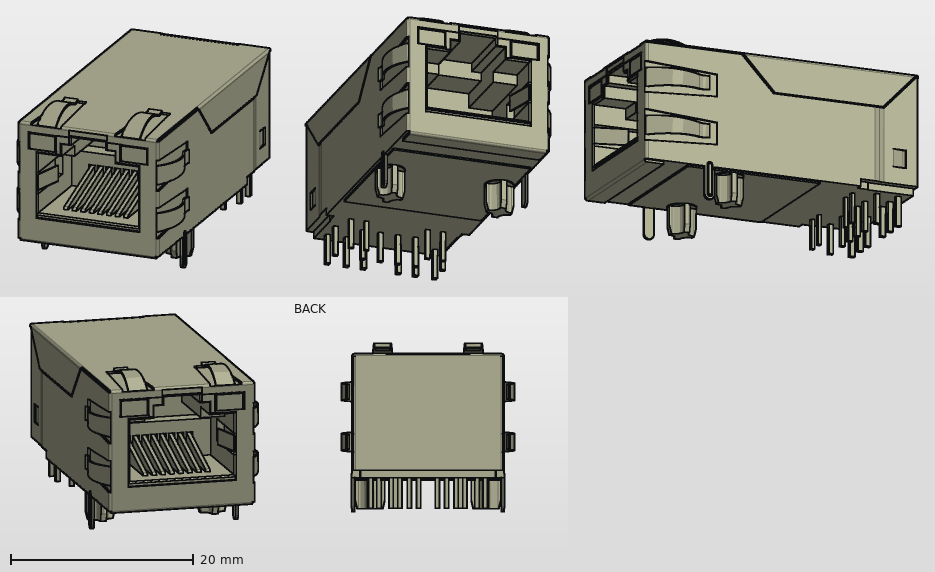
import cadquery as cq
import math


BODY_WIDTH = 16.7
BODY_LENGTH = 32.8
BODY_HEIGHT = 13.6
HALF_WIDTH = BODY_WIDTH / 2
BEND_RADIUS = 0.3
REAR_BEND_RADIUS = 0.2
SEAM_NOTCH_WIDTH = 0.15
SEAM_NOTCH_HEIGHT = 0.23
CLEARANCE = 0.33

REAR_NOTCH_WIDTH = 9.12
REAR_NOTCH_LENGTH = 0.5
REAR_NOTCH_DEPTH = 0.1

TRAPEZOID_FRONT_TOP_Y = 11.65
TRAPEZOID_FRONT_LOW_Y = 15.4
TRAPEZOID_REAR_LOW_Y = 28.67
TRAPEZOID_REAR_TOP_Y = 32.55
TRAPEZOID_LOW_Z = 9.35
SEAM_WIDTH = 0.15
LOW_SEAM_WIDTH = 0.1
SEAM_DEPTH = 0.13
JOGGLE_START_Y = 27.52
JOGGLE_DEPTH = 0.15
FLAP_BOTTOM_Z = 0.82
SKIRT_START_Y = 25.85
SKIRT_STEP_Y = 27.1
SKIRT_DEPTH = 0.85
SKIRT_REAR_DEPTH = 1.0
REAR_COVER_THICKNESS = 0.23
LATCH_START_Y = 29.8
LATCH_FLOOR_Y = 31.03
LATCH_END_Y = 31.35
LATCH_BOTTOM_Z = 2.8
LATCH_TOP_Z = 4.82
LATCH_DEPTH = 0.2

SPRING_RISE = 1.15
SPRING_THICKNESS = 0.2
SPRING_PEAK_Y = 3.8
SPRING_RADIUS = 5.45
SPRING_ROOT_ANGLE = 43.0
SPRING_JOINT_ANGLE = 25.0
HOOK_RADIUS = 1.48
HOOK_TIP_ANGLE = 29.0
SPRING_ROOT_WIDTH = 2.2
SPRING_TIP_WIDTH = 1.48
SPRING_TIP_Y = 7.65
SLOT_ROOT_WIDTH = 3.58
SLOT_END_WIDTH = 2.53
SLOT_LENGTH = 8.63
SLOT_DEPTH = 0.23
TOP_SPRING_X = 5.0
SIDE_SPRING_Z = (3.9, 9.4)

OPENING_HALF_WIDTH = 6.15
OPENING_BOTTOM_Z = 3.0
SHOULDER_Z = 10.33
STEP_HALF_WIDTH = 3.38
STEP_Z = 11.75
KEYWAY_HALF_WIDTH = 2.25
KEYWAY_Z = 12.7
BEVEL = 0.2
SILL_BOTTOM_Z = 2.6
SILL_DEPTH = 0.33
FLOOR_Z = OPENING_BOTTOM_Z + BEVEL
CAVITY_HALF_WIDTH = OPENING_HALF_WIDTH - BEVEL
INNER_STEP_HALF_WIDTH = STEP_HALF_WIDTH - BEVEL
CAVITY_DEPTH = 11.8
KEYWAY_DEPTH = 7.87
SHOULDER_DEPTH = 3.95
REAR_ROOF_Z = 10.6
SHOULDER_LEDGE_Z = 8.92

FACE_RECESS_DEPTH = 0.1
LED_INNER_X = 3.77
LED_OUTER_X = 7.1
LED_BOTTOM_Z = 10.55
LED_TOP_Z = 12.5
LED_GAP = 0.15
LED_GAP_DEPTH = 0.33

CONTACT_COUNT = 8
CONTACT_PITCH = 1.02
CONTACT_WIDTH = 0.5
CONTACT_START_Y = 2.3
CONTACT_NOSE = 0.3
CONTACT_TOP_Z = 5.9
CONTACT_BLOCK_Y = 9.85
CONTACT_BLOCK_TOP_Z = 7.35
CONTACT_SLOT_WIDTH = 0.72
CONTACT_SLOT_DEPTH = 1.0

WINDOW_START_Y = 0.2
WINDOW_END_Y = 7.18
WINDOW_BOTTOM_Z = 5.4
WINDOW_TOP_Z = 7.87
WINDOW_DEPTH = 0.85
LEAF_BOTTOM_Z = 5.75
LEAF_TOP_Z = 7.58
LEAF_THICKNESS = 0.13
LEAF_ROOT = (6.07, 0.1)
LEAF_TIP = (5.12, 3.97)

UNDERSIDE_WIDTH = 16.0
LIP_LENGTH = 2.33
LIP_HEIGHT = 0.3
BASE_PLATE_START_Y = 5.25
BASE_PLATE_END_Y = 21.1
BASE_PLATE_HEIGHT = 0.2
POST_X = 6.35
POST_Y = 10.85
POST_RADIUS = 1.65
POST_LENGTH = 3.45
POST_COLLAR = 0.3
POST_TAPER_LENGTH = 0.92
POST_TAPER = 0.23
FLUTE_COUNT = 4
FLUTE_OFFSET = 1.3
FLUTE_RADIUS = 1.0

TAIL_Y = 7.7
TAIL_WIDTH = 1.18
TAIL_THICKNESS = 0.3
TAIL_BOTTOM_Z = -3.75
TAIL_RIB_WIDTH = 0.65
TAIL_RIB_HEIGHT = 0.1
TAIL_RIB_SLOPE_WIDTH = 0.15
TAIL_RIB_TOP_Z = 0.52
TAIL_RIB_BOTTOM_Z = -3.4

PIN_BOTTOM_Z = -3.38
PIN_WIDTH = 0.5
PIN_ROWS = (
    (26.1, 0.35, (3.58, 5.38)),
    (28.67, 0.5, (1.02, 3.08, 6.25)),
    (31.23, 0.6, (2.05, 4.05, 6.25)),
)


def block(x, y, z):
    """Box between the two limits given for each axis."""
    size = (x[1] - x[0], y[1] - y[0], z[1] - z[0])
    return cq.Workplane("XY").box(*size, centered=False).translate((x[0], y[0], z[0]))


def both_sides(solid):
    """The solid together with its mirror image across X = 0."""
    return solid.union(solid.mirror("YZ"))


def side_prism(points, depth):
    """A (Y, Z) outline cut from past the +X side down to `depth` below it."""
    outline = cq.Workplane("YZ", origin=(HALF_WIDTH - depth, 0, 0)).polyline(points).close()
    return outline.extrude(depth + CLEARANCE)


def wedge_plan(root_width, end_width, length):
    """Symmetric trapezoid in plan, starting just ahead of the mating face."""
    points = [
        (-root_width / 2, -CLEARANCE),
        (root_width / 2, -CLEARANCE),
        (root_width / 2, 0),
        (end_width / 2, length),
        (-end_width / 2, length),
        (-root_width / 2, 0),
    ]
    return cq.Workplane("XY").polyline(points).close()



def shield_body():
    body = block((-HALF_WIDTH, HALF_WIDTH), (0, BODY_LENGTH), (0, BODY_HEIGHT))
    body = body.edges("(|Z and <Y) or (|X and <Y and >Z) or (|Y and >Z)").fillet(BEND_RADIUS)
    return body.edges("(|Z and >Y) or (|X and >Y and >Z)").fillet(REAR_BEND_RADIUS)


def seam_notches():
    """Square notches along the top corners ahead of the trapezoid panels."""
    return both_sides(block(
        (HALF_WIDTH - SEAM_NOTCH_WIDTH, HALF_WIDTH + CLEARANCE),
        (-CLEARANCE, TRAPEZOID_FRONT_TOP_Y),
        (BODY_HEIGHT - SEAM_NOTCH_HEIGHT, BODY_HEIGHT + CLEARANCE),
    ))


def rear_notch():
    return block(
        (-REAR_NOTCH_WIDTH / 2, REAR_NOTCH_WIDTH / 2),
        (BODY_LENGTH - REAR_NOTCH_LENGTH, BODY_LENGTH + CLEARANCE),
        (BODY_HEIGHT - REAR_NOTCH_DEPTH, BODY_HEIGHT + CLEARANCE),
    )


def trapezoid_seams():
    """Narrow grooves that outline the trapezoid panels."""
    top_z = BODY_HEIGHT - BEND_RADIUS
    low_z = TRAPEZOID_LOW_Z
    width = SEAM_WIDTH * math.sqrt(2)
    outer = [
        (TRAPEZOID_FRONT_TOP_Y, top_z),
        (TRAPEZOID_FRONT_LOW_Y, low_z),
        (TRAPEZOID_REAR_LOW_Y, low_z),
        (TRAPEZOID_REAR_TOP_Y, top_z),
    ]
    inner = [
        (TRAPEZOID_FRONT_TOP_Y + width, top_z),
        (TRAPEZOID_FRONT_LOW_Y + width / 2, low_z + LOW_SEAM_WIDTH),
        (TRAPEZOID_REAR_LOW_Y - width / 2, low_z + LOW_SEAM_WIDTH),
        (TRAPEZOID_REAR_TOP_Y - width, top_z),
    ]
    return both_sides(side_prism(outer + inner[::-1], SEAM_DEPTH))


def rear_flap_recess():
    """The joggled sides behind and below the rear slope of the trapezoid panels."""
    rear_y = BODY_LENGTH + CLEARANCE
    top_z = BODY_HEIGHT - BEND_RADIUS
    region = side_prism([
        (JOGGLE_START_Y, 0),
        (JOGGLE_START_Y, TRAPEZOID_LOW_Z),
        (TRAPEZOID_REAR_LOW_Y, TRAPEZOID_LOW_Z),
        (TRAPEZOID_REAR_TOP_Y, top_z),
        (rear_y, top_z),
        (rear_y, 0),
    ], JOGGLE_DEPTH + REAR_BEND_RADIUS)
    flap_x = HALF_WIDTH - JOGGLE_DEPTH
    middle = (HALF_WIDTH - JOGGLE_DEPTH / 2, (JOGGLE_START_Y + TRAPEZOID_REAR_LOW_Y) / 2)
    plan = (
        cq.Workplane("XY")
        .moveTo(HALF_WIDTH, JOGGLE_START_Y - CLEARANCE)
        .lineTo(HALF_WIDTH, JOGGLE_START_Y)
        .tangentArcPoint(middle, relative=False)
        .tangentArcPoint((flap_x, TRAPEZOID_REAR_LOW_Y), relative=False)
        .lineTo(flap_x, BODY_LENGTH - REAR_BEND_RADIUS)
        .tangentArcPoint((flap_x - REAR_BEND_RADIUS, BODY_LENGTH), relative=False)
        .lineTo(flap_x - REAR_BEND_RADIUS, rear_y)
        .lineTo(HALF_WIDTH + CLEARANCE, rear_y)
        .lineTo(HALF_WIDTH + CLEARANCE, JOGGLE_START_Y - CLEARANCE)
        .close()
    )
    return both_sides(region.intersect(plan.extrude(BODY_HEIGHT)))


def rear_skirt_recess():
    """Below the flaps the sides step in, and the rear cover stops short of the bottom."""
    z = (-CLEARANCE, FLAP_BOTTOM_Z)
    outer_x = HALF_WIDTH + CLEARANCE
    rear_y = BODY_LENGTH + CLEARANCE
    shallow = block((HALF_WIDTH - SKIRT_DEPTH, outer_x), (SKIRT_START_Y, rear_y), z)
    deep = block((HALF_WIDTH - SKIRT_REAR_DEPTH, outer_x), (SKIRT_STEP_Y, rear_y), z)
    rear = block((-outer_x, outer_x), (BODY_LENGTH - REAR_COVER_THICKNESS, rear_y), z)
    return both_sides(shallow.union(deep)).union(rear)


def latch_pockets():
    """Ramped pockets in the rear flaps."""
    flap_x = HALF_WIDTH - JOGGLE_DEPTH
    plan = cq.Workplane("XY", origin=(0, 0, LATCH_BOTTOM_Z)).polyline([
        (flap_x, LATCH_START_Y),
        (flap_x - LATCH_DEPTH, LATCH_FLOOR_Y),
        (flap_x - LATCH_DEPTH, LATCH_END_Y),
        (flap_x + CLEARANCE, LATCH_END_Y),
        (flap_x + CLEARANCE, LATCH_START_Y),
    ]).close()
    return both_sides(plan.extrude(LATCH_TOP_Z - LATCH_BOTTOM_Z))



def spring():
    """Arched leaf with an upturned hook, tapered in plan."""
    half = SPRING_THICKNESS / 2
    arch_z = SPRING_RISE - half - SPRING_RADIUS
    joint = math.radians(SPRING_JOINT_ANGLE)
    hook_y = SPRING_PEAK_Y + (SPRING_RADIUS + HOOK_RADIUS) * math.sin(joint)
    hook_z = arch_z + (SPRING_RADIUS + HOOK_RADIUS) * math.cos(joint)

    def on_arch(angle, offset):
        turn = math.radians(angle)
        radius = SPRING_RADIUS + offset
        return (SPRING_PEAK_Y + radius * math.sin(turn), arch_z + radius * math.cos(turn))

    def on_hook(angle, offset):
        turn = math.radians(angle)
        radius = HOOK_RADIUS - offset
        return (hook_y + radius * math.sin(turn), hook_z - radius * math.cos(turn))

    profile = (
        cq.Workplane("YZ", origin=(-SPRING_ROOT_WIDTH / 2, 0, 0))
        .moveTo(*on_arch(-SPRING_ROOT_ANGLE, half))
        .threePointArc(on_arch(0, half), on_arch(SPRING_JOINT_ANGLE, half))
        .threePointArc(on_hook(0, half), on_hook(HOOK_TIP_ANGLE, half))
        .lineTo(*on_hook(HOOK_TIP_ANGLE, -half))
        .threePointArc(on_hook(0, -half), on_arch(SPRING_JOINT_ANGLE, -half))
        .threePointArc(on_arch(0, -half), on_arch(-SPRING_ROOT_ANGLE, -half))
        .close()
        .extrude(SPRING_ROOT_WIDTH)
    )
    plan = wedge_plan(SPRING_ROOT_WIDTH, SPRING_TIP_WIDTH, SPRING_TIP_Y + CLEARANCE)
    envelope = plan.extrude(2 * SPRING_RISE, both=True)
    return profile.intersect(envelope)


def spring_slot():
    plan = wedge_plan(SLOT_ROOT_WIDTH, SLOT_END_WIDTH, SLOT_LENGTH)
    return plan.extrude(SLOT_DEPTH + CLEARANCE).translate((0, 0, -SLOT_DEPTH))


def at_spring_places(solid):
    """Copies of the solid on the top and on both sides of the shield."""
    top = solid.translate((TOP_SPRING_X, 0, BODY_HEIGHT))
    side = solid.rotate((0, 0, 0), (0, 1, 0), 90)
    copies = both_sides(top)
    for z in SIDE_SPRING_Z:
        copies = copies.union(both_sides(side.translate((HALF_WIDTH, 0, z))))
    return copies



def opening():
    """Bevelled stepped mouth and the cavity behind it."""
    right_side = [
        (OPENING_HALF_WIDTH, OPENING_BOTTOM_Z),
        (OPENING_HALF_WIDTH, SHOULDER_Z),
        (STEP_HALF_WIDTH, SHOULDER_Z),
        (STEP_HALF_WIDTH, STEP_Z),
        (KEYWAY_HALF_WIDTH, STEP_Z),
        (KEYWAY_HALF_WIDTH, KEYWAY_Z),
    ]
    left_side = [(-x, z) for x, z in reversed(right_side)]
    inward = cq.Plane(origin=(0, 0, 0), xDir=(-1, 0, 0), normal=(0, 1, 0))
    mouth = cq.Workplane(inward).polyline(right_side + left_side).close().extrude(BEVEL, taper=45)

    def room(half_width, depth, bottom, top):
        return block((-half_width, half_width), (BEVEL, depth), (bottom, top))

    sill = block(
        (-OPENING_HALF_WIDTH, OPENING_HALF_WIDTH),
        (0, SILL_DEPTH),
        (SILL_BOTTOM_Z, OPENING_BOTTOM_Z),
    )
    return (
        mouth.union(sill)
        .union(room(CAVITY_HALF_WIDTH, CAVITY_DEPTH, FLOOR_Z, SHOULDER_LEDGE_Z))
        .union(room(CAVITY_HALF_WIDTH, SHOULDER_DEPTH, FLOOR_Z, SHOULDER_Z - BEVEL))
        .union(room(INNER_STEP_HALF_WIDTH, CAVITY_DEPTH, FLOOR_Z, REAR_ROOF_Z))
        .union(room(INNER_STEP_HALF_WIDTH, KEYWAY_DEPTH, FLOOR_Z, STEP_Z - BEVEL))
        .union(room(KEYWAY_HALF_WIDTH - BEVEL, KEYWAY_DEPTH, FLOOR_Z, KEYWAY_Z - BEVEL))
    )


def face_recesses():
    """Shallow recesses above the keyway and between it and the indicators."""
    depth = (-CLEARANCE, FACE_RECESS_DEPTH)
    above = block(
        (-KEYWAY_HALF_WIDTH, KEYWAY_HALF_WIDTH), depth, (KEYWAY_Z, BODY_HEIGHT - BEND_RADIUS)
    )
    beside = block((KEYWAY_HALF_WIDTH, LED_INNER_X), depth, (SHOULDER_Z, LED_TOP_Z))
    return above.union(both_sides(beside))


def indicator_gaps():
    """Slightly sunk indicators, each with a gap over its top and two sides."""
    depth = (-CLEARANCE, LED_GAP_DEPTH)
    window = block((LED_INNER_X, LED_OUTER_X), depth, (LED_BOTTOM_Z, LED_TOP_Z))
    indicator = block(
        (LED_INNER_X + LED_GAP, LED_OUTER_X - LED_GAP), depth, (LED_BOTTOM_Z, LED_TOP_Z - LED_GAP)
    )
    indicator_face = block(
        (LED_INNER_X, LED_OUTER_X), (-CLEARANCE, FACE_RECESS_DEPTH), (LED_BOTTOM_Z, LED_TOP_Z)
    )
    return both_sides(window.cut(indicator).union(indicator_face))


def side_windows():
    return both_sides(block(
        (CAVITY_HALF_WIDTH, CAVITY_HALF_WIDTH + WINDOW_DEPTH),
        (WINDOW_START_Y, WINDOW_END_Y),
        (WINDOW_BOTTOM_Z, WINDOW_TOP_Z),
    ))


def leaves():
    """Sheet-metal leaves that lean into the cavity."""
    inner_line = [LEAF_ROOT, LEAF_TIP]
    outer_line = [(x + LEAF_THICKNESS, y) for x, y in reversed(inner_line)]
    outline = cq.Workplane("XY", origin=(0, 0, LEAF_BOTTOM_Z)).polyline(inner_line + outer_line).close()
    return both_sides(outline.extrude(LEAF_TOP_Z - LEAF_BOTTOM_Z))


def contact_positions():
    first = -(CONTACT_COUNT - 1) / 2 * CONTACT_PITCH
    return [first + i * CONTACT_PITCH for i in range(CONTACT_COUNT)]


def contact_block():
    """Block at the rear of the cavity, slotted around each contact."""
    rear_block = block(
        (-CAVITY_HALF_WIDTH, CAVITY_HALF_WIDTH),
        (CONTACT_BLOCK_Y, CAVITY_DEPTH),
        (FLOOR_Z, CONTACT_BLOCK_TOP_Z),
    )
    for x in contact_positions():
        rear_block = rear_block.cut(block(
            (x - CONTACT_SLOT_WIDTH / 2, x + CONTACT_SLOT_WIDTH / 2),
            (CONTACT_BLOCK_Y, CONTACT_BLOCK_Y + CONTACT_SLOT_DEPTH),
            (FLOOR_Z, CONTACT_TOP_Z),
        ))
    return rear_block


def contacts():
    """Ribs that rise from the cavity floor to the contact block."""
    rear_y = CONTACT_BLOCK_Y + CONTACT_SLOT_DEPTH
    nose_offset = CONTACT_NOSE * (1 - math.sqrt(0.5))
    ribs = cq.Workplane("XY")
    for x in contact_positions():
        rib = (
            cq.Workplane("YZ", origin=(x - CONTACT_WIDTH / 2, 0, 0))
            .moveTo(CONTACT_START_Y, FLOOR_Z)
            .threePointArc(
                (CONTACT_START_Y + nose_offset, FLOOR_Z + CONTACT_NOSE - nose_offset),
                (CONTACT_START_Y + CONTACT_NOSE, FLOOR_Z + CONTACT_NOSE),
            )
            .lineTo(rear_y, CONTACT_TOP_Z)
            .lineTo(rear_y, FLOOR_Z)
            .close()
            .extrude(CONTACT_WIDTH)
        )
        ribs = ribs.add(rib)
    return ribs.combine()



def front_lip():
    lip = block((-UNDERSIDE_WIDTH / 2, UNDERSIDE_WIDTH / 2), (0, LIP_LENGTH), (-LIP_HEIGHT, BEND_RADIUS))
    return lip.edges("|X and <Y and <Z").fillet(BEND_RADIUS)


def base_plate():
    return block(
        (-UNDERSIDE_WIDTH / 2, UNDERSIDE_WIDTH / 2),
        (BASE_PLATE_START_Y, BASE_PLATE_END_Y),
        (-BASE_PLATE_HEIGHT, 0),
    )


def posts():
    """Tapered locating posts with four flutes, below a round collar."""
    arm = FLUTE_OFFSET - FLUTE_RADIUS
    arc_middle = FLUTE_OFFSET - FLUTE_RADIUS * math.sqrt(0.5)
    outside = POST_RADIUS + CLEARANCE
    flute = (
        cq.Workplane("XY", origin=(0, 0, -POST_COLLAR))
        .moveTo(arm, outside)
        .lineTo(arm, FLUTE_OFFSET)
        .threePointArc((arc_middle, arc_middle), (FLUTE_OFFSET, arm))
        .lineTo(outside, arm)
        .lineTo(outside, outside)
        .close()
        .extrude(-POST_LENGTH)
    )
    post = cq.Workplane("XY").circle(POST_RADIUS).extrude(-POST_LENGTH)
    post = post.faces("<Z").chamfer(POST_TAPER_LENGTH, POST_TAPER)
    for turn in range(FLUTE_COUNT):
        post = post.cut(flute.rotate((0, 0, 0), (0, 0, 1), turn * 360 / FLUTE_COUNT))
    return both_sides(post.translate((POST_X, POST_Y, 0)))


def shield_tails():
    """Round-ended tails with a stamped rib on the outer face."""
    radius = TAIL_WIDTH / 2
    inner_x = HALF_WIDTH - TAIL_THICKNESS
    tail = (
        cq.Workplane("YZ", origin=(inner_x, TAIL_Y, 0))
        .moveTo(-radius, 0)
        .lineTo(-radius, TAIL_BOTTOM_Z + radius)
        .threePointArc((0, TAIL_BOTTOM_Z), (radius, TAIL_BOTTOM_Z + radius))
        .lineTo(radius, 0)
        .close()
        .extrude(TAIL_THICKNESS)
    )
    rib_middle_z = (TAIL_RIB_TOP_Z + TAIL_RIB_BOTTOM_Z) / 2
    rib_slope = math.degrees(math.atan(TAIL_RIB_SLOPE_WIDTH / TAIL_RIB_HEIGHT))
    rib = (
        cq.Workplane("YZ", origin=(HALF_WIDTH, TAIL_Y, rib_middle_z))
        .slot2D(TAIL_RIB_TOP_Z - TAIL_RIB_BOTTOM_Z, TAIL_RIB_WIDTH, 90)
        .extrude(TAIL_RIB_HEIGHT, taper=rib_slope)
    )
    return both_sides(tail.union(rib))


def solder_pins():
    pins = cq.Workplane("XY")
    for y, length, distances in PIN_ROWS:
        for x in distances:
            pin = block(
                (x - PIN_WIDTH / 2, x + PIN_WIDTH / 2),
                (y - length / 2, y + length / 2),
                (PIN_BOTTOM_Z, 0),
            )
            pins = pins.add(both_sides(pin))
    return pins.combine()


result = (
    shield_body()
    .union(front_lip())
    .cut(seam_notches())
    .cut(rear_notch())
    .cut(trapezoid_seams())
    .cut(rear_flap_recess())
    .cut(rear_skirt_recess())
    .cut(latch_pockets())
    .cut(at_spring_places(spring_slot()))
    .cut(opening())
    .cut(face_recesses())
    .cut(indicator_gaps())
    .cut(side_windows())
    .union(at_spring_places(spring()))
    .union(leaves())
    .union(contact_block())
    .union(contacts())
    .union(base_plate())
    .union(posts())
    .union(shield_tails())
    .union(solder_pins())
)